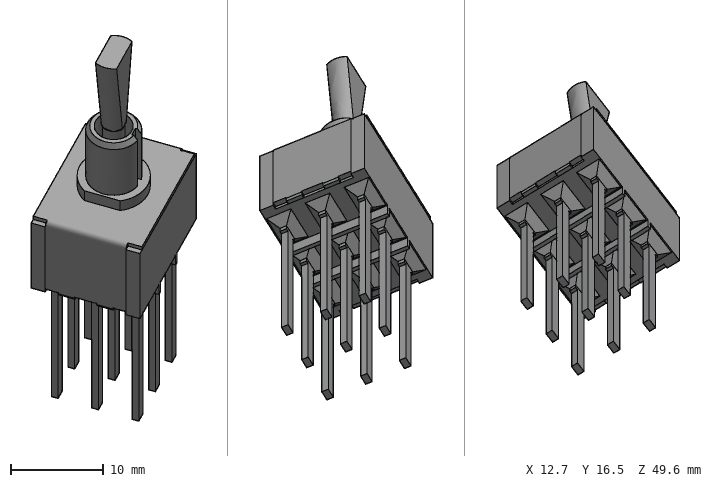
import cadquery as cq
import math


total_height = 49.55
body_length_x = 12.7
body_length_y = 16.5
lever_top_z = 30.8
pin_bottom_z = lever_top_z - total_height

body_top_z = 10.45
plate_thickness = 0.5
flap_width = 9.4
flap_thickness = 0.6
flap_bottom_z = 0.45
tab_width = 1.9
tab_center_x = 2.25
tab_slope_height = 0.3
tab_slope_setback = 0.15

collar_diameter = 7.95
collar_flat_distance = 6.75
collar_top_z = 11.95
bushing_diameter = 6.1
bushing_top_z = 19.5
bushing_chamfer_radial = 0.45
bushing_chamfer_height = 0.6
bore_diameter = 4.2
bore_bottom_z = 15.35
keyway_width = 1.05
keyway_floor_x = 2.35

ball_diameter = 4.35
stem_diameter = 2.5
flare_bottom_z = 20.0
flare_bottom_diameter = 2.75
flare_top_diameter = 5.15
lever_thickness = 2.5

pin_pitch_x = 4.7
pin_pitch_y = 4.85
pin_size_x = 0.8
pin_size_y = 1.25
shoulder_size_y = 2.0
shoulder_bottom_z = -1.65
seal_height = 1.1
rib_thickness = 0.45
rib_height = 1.5

plate_bottom_z = body_top_z - plate_thickness
plate_length_y = body_length_y - 2 * flap_thickness
half_length_y = body_length_y / 2


def block(size_x, size_y, bottom_z, top_z):
    """Box centred on the Z axis between two heights."""
    return (
        cq.Workplane("XY", origin=(0, 0, bottom_z))
        .rect(size_x, size_y)
        .extrude(top_z - bottom_z)
    )


def cylinder(diameter, bottom_z, top_z):
    """Cylinder on the Z axis between two heights."""
    return cq.Workplane("XY", origin=(0, 0, bottom_z)).circle(diameter / 2).extrude(top_z - bottom_z)


def make_terminal():
    """Pin with a wider shoulder, rising out of a seal that tapers at 45 degrees."""
    pin = block(pin_size_x, pin_size_y, pin_bottom_z, 0)
    shoulder = block(pin_size_x, shoulder_size_y, shoulder_bottom_z, 0)
    seal = (
        cq.Workplane("XY")
        .rect(pin_size_x + 2 * seal_height, shoulder_size_y + 2 * seal_height)
        .workplane(offset=-seal_height)
        .rect(pin_size_x, shoulder_size_y)
        .loft(ruled=True)
    )
    return pin.union(shoulder).union(seal)


def make_housing():
    """Block recessed at both Y ends for the flaps, with ribs and a 3 x 3 grid of terminals."""
    housing = block(body_length_x, body_length_y, 0, plate_bottom_z)
    recess_center_y = (body_length_y - flap_thickness) / 2
    for side in (-1, 1):
        recess = block(flap_width, flap_thickness, 0, plate_bottom_z)
        housing = housing.cut(recess.translate((0, side * recess_center_y, 0)))
        rib = block(body_length_x, rib_thickness, -rib_height, 0)
        housing = housing.union(rib.translate((0, side * pin_pitch_y / 2, 0)))

    terminal = make_terminal()
    for column in (-1, 0, 1):
        for row in (-1, 0, 1):
            housing = housing.union(terminal.translate((column * pin_pitch_x, row * pin_pitch_y, 0)))
    return housing


def make_flap():
    """Flap at the -Y end, with a rounded bend on top and two sloped tabs at its lower edge."""
    outer_y = -half_length_y
    inner_y = outer_y + flap_thickness
    flap = (
        cq.Workplane("YZ", origin=(-flap_width / 2, 0, 0))
        .moveTo(inner_y, flap_bottom_z)
        .lineTo(outer_y, flap_bottom_z)
        .lineTo(outer_y, body_top_z - flap_thickness)
        .radiusArc((inner_y, body_top_z), flap_thickness)
        .close()
        .extrude(flap_width)
    )
    for side in (-1, 1):
        tab = (
            cq.Workplane("YZ", origin=(side * tab_center_x - tab_width / 2, 0, 0))
            .moveTo(inner_y, flap_bottom_z)
            .lineTo(outer_y, flap_bottom_z)
            .lineTo(outer_y, tab_slope_height)
            .lineTo(outer_y + tab_slope_setback, 0)
            .lineTo(inner_y, 0)
            .close()
            .extrude(tab_width)
        )
        flap = flap.union(tab)
    return flap


def make_bushing():
    """Collar with two flats under a chamfered bushing that has a blind bore and a +X keyway."""
    collar = cylinder(collar_diameter, body_top_z, collar_top_z)
    collar = collar.intersect(block(collar_diameter, collar_flat_distance, body_top_z, collar_top_z))

    bushing_radius = bushing_diameter / 2
    bushing = (
        cq.Workplane("XZ")
        .moveTo(0, body_top_z)
        .lineTo(bushing_radius, body_top_z)
        .lineTo(bushing_radius, bushing_top_z - bushing_chamfer_height)
        .lineTo(bushing_radius - bushing_chamfer_radial, bushing_top_z)
        .lineTo(0, bushing_top_z)
        .close()
        .revolve(360, (0, 0), (0, 1))
    )
    keyway_depth = bushing_radius - keyway_floor_x
    keyway = block(keyway_depth, keyway_width, collar_top_z, bushing_top_z)
    keyway = keyway.translate((keyway_floor_x + keyway_depth / 2, 0, 0))
    bore = cylinder(bore_diameter, bore_bottom_z, bushing_top_z)
    return bushing.cut(keyway).union(collar).cut(bore)


def flattened_circle(diameter, z):
    """Circle cut by two flats that are one lever thickness apart in X."""
    radius = diameter / 2
    flat_x = lever_thickness / 2
    flat_end_y = math.sqrt(radius**2 - flat_x**2)
    return (
        cq.Workplane("XY", origin=(0, 0, z))
        .moveTo(flat_x, -flat_end_y)
        .lineTo(flat_x, flat_end_y)
        .threePointArc((0, radius), (-flat_x, flat_end_y))
        .lineTo(-flat_x, -flat_end_y)
        .threePointArc((0, -radius), (flat_x, -flat_end_y))
        .close()
        .val()
    )


def make_lever():
    """Ball and round stem below a flare that is flattened on its X sides."""
    ball = cq.Workplane("XY").sphere(ball_diameter / 2).translate((0, 0, bore_bottom_z))
    stem = cylinder(stem_diameter, bore_bottom_z, flare_bottom_z)
    bottom_wire = flattened_circle(flare_bottom_diameter, flare_bottom_z)
    top_wire = flattened_circle(flare_top_diameter, lever_top_z)
    flare = cq.Workplane(cq.Solid.makeLoft([bottom_wire, top_wire], True))
    return ball.union(stem).union(flare)


def make_bracket():
    """Top plate with both flaps, the bushing and the lever in it, all as one solid."""
    plate = block(body_length_x, plate_length_y, plate_bottom_z, body_top_z)
    flap = make_flap()
    bracket = plate.union(flap).union(flap.mirror("XZ"))
    return bracket.union(make_bushing()).union(make_lever())


housing = make_housing()
bracket = make_bracket()

result = cq.Compound.makeCompound([housing.val(), bracket.val()])